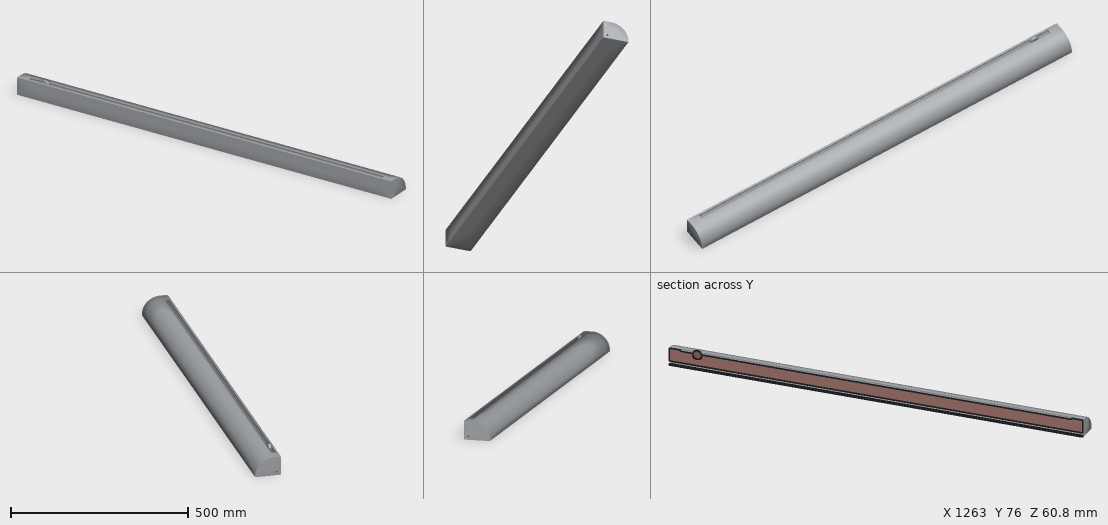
import cadquery as cq

length = 1263.0
depth = 76.0
housing_height = 54.0
flat_top_depth = 24.0
nose_radius = 52.0

foot_height = 3.0
end_length = 35.0

channel_front = 6.0
channel_back = 19.0
channel_depth = 4.0

bore_diameter = 6.5
bore_height = 9.6

wheel_diameter = 27.0
wheel_thickness = 8.0
wheel_x = 86.0
wheel_rise = 6.8

middle_length = length - 2 * end_length
channel_width = channel_back - channel_front
channel_center = (channel_front + channel_back) / 2
wheel_z = housing_height + wheel_rise - wheel_diameter / 2


def make_foot():
    """Flat slab that carries the bar over its whole length."""
    return cq.Workplane("XY").box(length, depth, foot_height, centered=False)


def make_section(start, section_length):
    """Stretch of the bar above the foot: flat front and top, rounded nose at the back."""
    return (
        cq.Workplane("YZ", origin=(start, 0, 0))
        .moveTo(0, foot_height)
        .lineTo(depth, foot_height)
        .radiusArc((flat_top_depth, housing_height), -nose_radius)
        .lineTo(0, housing_height)
        .close()
        .extrude(section_length)
    )


def make_channel():
    """Square-edged groove that stops at the end sections."""
    floor_z = housing_height - channel_depth
    return cq.Workplane("XY", origin=(end_length, channel_front, floor_z)).box(
        middle_length, channel_width, channel_depth, centered=False
    )


def make_bore():
    return (
        cq.Workplane("YZ")
        .center(channel_center, bore_height)
        .circle(bore_diameter / 2)
        .extrude(length)
    )


def make_wheel():
    """Disc on an axis along Y, centred across the channel; also the shape of its recess."""
    return (
        cq.Workplane("XZ", origin=(wheel_x, channel_center, wheel_z))
        .circle(wheel_diameter / 2)
        .extrude(wheel_thickness / 2, both=True)
    )


def make_housing():
    housing = make_section(end_length, middle_length)
    for start in (0, length - end_length):
        housing = housing.union(make_section(start, end_length), clean=False)
    housing = housing.union(make_foot(), clean=False)
    for cutter in (make_channel(), make_bore(), make_wheel()):
        housing = housing.cut(cutter, clean=False)
    return housing.solids()


housing = make_housing()
wheel = make_wheel()

result = cq.Compound.makeCompound([housing.val(), wheel.val()])